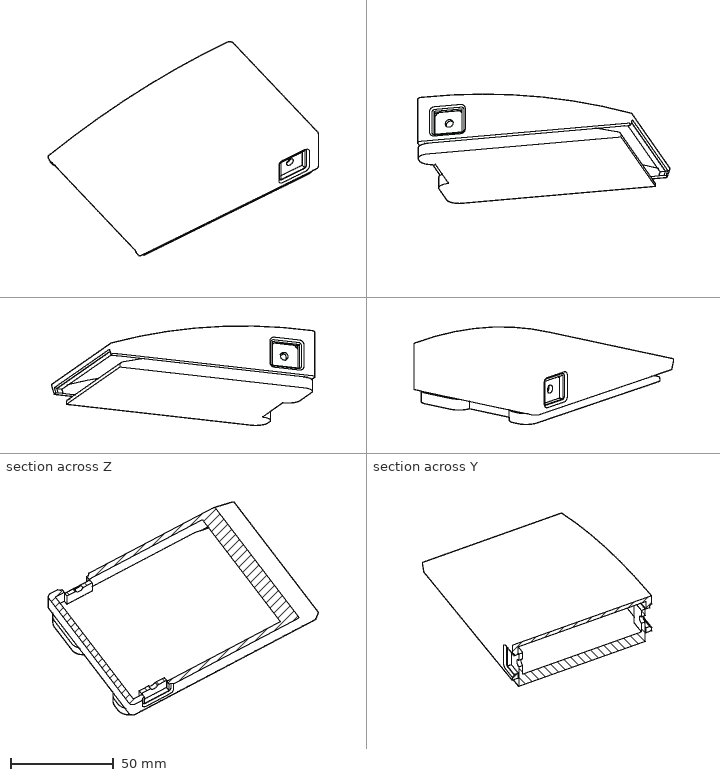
import cadquery as cq
import math


total_length = 109.6
total_height = 28.6
cover_width = 77.1

cover_bottom = 5.5
cover_back = 108.0
roof_radius = 290.4
roof_crest_y = 100.8
front_tilt = math.radians(19)
front_bottom_y = 1.4
side_edge_radius = 0.5
roof_end_radius = 1.1
back_corner_radius = 2.3
wall = 3.3
roof_thickness = 2.7

front_opening_width = 70.1
front_opening_top = 7.5
front_opening_bevel = 0.8

window_y = 92.6
window_z = 14.9
window_length = 14.0
window_height = 11.9
recess_length = 18.0
recess_height = 15.2
recess_rise = 0.3
recess_corner_radius = 2.4
recess_bevel = 1.0
recess_depth = 1.1

fit_gap = 0.3
base_width = cover_width - 2 * (wall + fit_gap)
base_front = 6.5
base_step_height = 7.3
nose_height = 2.4
nose_slope = math.radians(15)
nose_radius = 2.0

tongue_radius = 12.8 / 2
left_tongue_width = 15.2
right_tongue_width = 28.2

ear_thickness = 2.2
ear_overlap = 0.3
ear_corner_cut = 2.2
ear_corner_cut_depth = 1.1
ear_hole_diameter = 3.9


def wedge(width, radius, front_y, back_y):
    """Block on cover_bottom with an arched roof and a leaning front, whose foot is at front_y."""
    roof_centre_z = total_height - roof_radius

    def roof_z(y):
        return roof_centre_z + math.sqrt(radius**2 - (y - roof_crest_y) ** 2)

    lean = math.tan(front_tilt)
    run = front_y - roof_crest_y
    drop = cover_bottom - roof_centre_z
    a = 1 + lean**2
    half_b = drop - lean * run
    c = run**2 + drop**2 - radius**2
    rise = (math.sqrt(half_b**2 - a * c) - half_b) / a
    front_top_y = front_y - lean * rise
    front_top_z = cover_bottom + rise
    middle_y = (front_top_y + back_y) / 2

    return (
        cq.Workplane("YZ")
        .moveTo(front_y, cover_bottom)
        .lineTo(front_top_y, front_top_z)
        .threePointArc((middle_y, roof_z(middle_y)), (back_y, roof_z(back_y)))
        .lineTo(back_y, cover_bottom)
        .close()
        .extrude(width / 2, both=True)
    )


def cover_shell():
    """Rounded wedge, hollowed from below."""
    outside = wedge(cover_width, roof_radius, front_bottom_y, cover_back)
    outside = outside.edges("|Z and >Y").fillet(back_corner_radius)
    outside = outside.faces("<Y").edges(">Z").fillet(roof_end_radius)
    outside = outside.faces("<X or >X").edges("not(|Z or |Y)").fillet(side_edge_radius)
    cavity = wedge(
        cover_width - 2 * wall,
        roof_radius - roof_thickness,
        front_bottom_y + wall / math.cos(front_tilt),
        cover_back - wall,
    )
    return outside.cut(cavity)


def front_opening():
    """Slot through the front wall with a bevelled mouth, for the nose of the base."""
    half_width = front_opening_width / 2
    cut_length = 2 * wall
    height = front_opening_top - cover_bottom
    opening = cq.Workplane("XY").box(2 * half_width, cut_length, height, centered=(True, False, False))
    opening = opening.translate((0, front_bottom_y - wall / 2, cover_bottom))
    mouth_half_width = half_width + front_opening_bevel
    mouth_height = height + front_opening_bevel
    bevel = (
        cq.Workplane("XZ")
        .rect(2 * mouth_half_width, 2 * mouth_height)
        .workplane(offset=-front_opening_bevel)
        .rect(2 * half_width, 2 * height)
        .loft(ruled=True)
    )
    bevel = bevel.rotate((0, 0, 0), (1, 0, 0), math.degrees(front_tilt))
    return opening.union(bevel.translate((0, front_bottom_y, cover_bottom)))


def side_window(side):
    """Bevelled recess with a rectangular window through the wall; side is -1 or +1."""
    face = cq.Plane(
        origin=(side * cover_width / 2, window_y, window_z), xDir=(0, 1, 0), normal=(-side, 0, 0)
    )
    floor_length = recess_length - 2 * recess_bevel
    floor_height = recess_height - 2 * recess_bevel
    floor_radius = recess_corner_radius - recess_bevel
    mouth = cq.Sketch().rect(recess_length, recess_height).vertices().fillet(recess_corner_radius)
    floor = cq.Sketch().rect(floor_length, floor_height).vertices().fillet(floor_radius)
    recess = (
        cq.Workplane(face)
        .center(0, -side * recess_rise)
        .placeSketch(mouth, floor.moved(cq.Location(cq.Vector(0, 0, recess_depth))))
        .loft(ruled=True)
    )
    window = cq.Workplane(face).rect(window_length, window_height).extrude(wall + fit_gap / 2)
    return recess.union(window)


def make_cover():
    cover = cover_shell().cut(front_opening())
    for side in (-1, 1):
        cover = cover.cut(side_window(side))
    return cover


def base_tongue(left_x, width):
    """Strip running forward from the back of the base, with rounded back corners."""
    centre = (left_x + width / 2, (window_y + total_length) / 2)
    tongue = (
        cq.Workplane("XY")
        .center(*centre)
        .rect(width, total_length - window_y)
        .extrude(cover_bottom)
    )
    return tongue.edges("|Z and >Y").fillet(tongue_radius)


def base_slab():
    """Plate with a sloped nose, whose raised middle fits up into the cover."""
    slope_length = (base_step_height - nose_height) / math.tan(nose_slope)
    slab_back = total_length - tongue_radius
    slab = (
        cq.Workplane("YZ")
        .moveTo(base_front, 0)
        .lineTo(base_front, nose_height)
        .lineTo(base_front + slope_length, base_step_height)
        .lineTo(slab_back, base_step_height)
        .lineTo(slab_back, 0)
        .close()
        .extrude(base_width / 2, both=True)
    )
    nose_edge = cq.selectors.NearestToPointSelector((0, base_front, nose_height))
    return slab.edges(nose_edge).fillet(nose_radius)


def base_ear(side):
    """Upright plate with notched top corners and a cross hole; side is -1 or +1."""
    outer_x = side * base_width / 2
    length = window_length + 2 * ear_overlap
    top = window_z + window_height / 2 + ear_overlap
    ear = (
        cq.Workplane("YZ", origin=(outer_x, window_y, 0))
        .center(0, top / 2)
        .rect(length, top)
        .extrude(-side * ear_thickness)
    )
    for end in (-1, 1):
        corner_y = end * length / 2
        notch = (
            cq.Workplane("YZ", origin=(outer_x, window_y, 0))
            .moveTo(corner_y, top)
            .lineTo(corner_y - end * ear_corner_cut, top)
            .lineTo(corner_y, top - ear_corner_cut)
            .close()
            .extrude(-side * ear_corner_cut_depth)
        )
        ear = ear.cut(notch)
    hole = (
        cq.Workplane("YZ", origin=(outer_x, window_y, window_z))
        .circle(ear_hole_diameter / 2)
        .extrude(-side * ear_thickness)
    )
    return ear.cut(hole)


def make_base():
    base = base_slab()
    base = base.union(base_tongue(-base_width / 2, left_tongue_width))
    base = base.union(base_tongue(base_width / 2 - right_tongue_width, right_tongue_width))
    for side in (-1, 1):
        base = base.union(base_ear(side))
    return base


cover = make_cover()
base = make_base()

result = cq.Compound.makeCompound([cover.val(), base.val()])